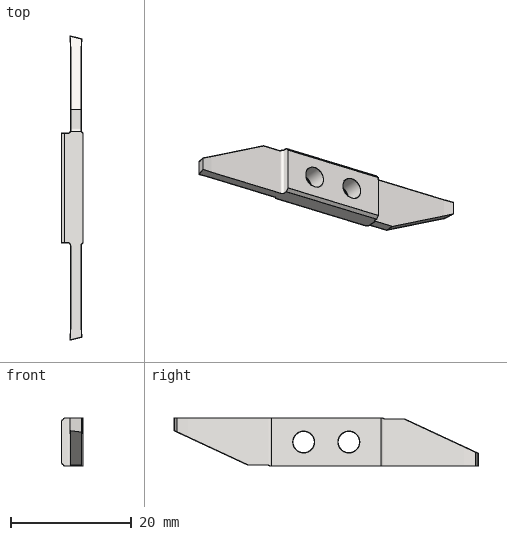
import cadquery as cq
import math

length = 50.5
height = 8.0
width = 3.6

body_half_length = 9.1
body_chamfer = 0.5
root_radius = 0.45

blade_left = -0.29
blade_right = 1.5
edge_recess = 0.17
recess_radius = 0.6
recess_end = 9.8
flank_start = 13.0
flank_angle = 25.0

tip_left = -0.39
tip_right = 1.6
tip_length = 1.85
tip_end_drop = 0.5

hole_diameter = 3.55
hole_spacing = 7.5

half_length = length / 2
half_height = height / 2
half_width = width / 2
root_end = body_half_length + root_radius
tip_start = half_length - tip_length


def make_body():
    """Rectangular body with its two long -X edges chamfered."""
    body = cq.Workplane("XY").box(width, 2 * body_half_length, height)
    return body.edges("<X and |Y").chamfer(body_chamfer)


def arm_plan():
    """Plan outline of the +Y arm, with rounded roots and a flared, slanted tip, as a full-height prism."""
    left_root = blade_left - root_radius
    right_step = half_width - blade_right
    right_root_y = root_end - math.sqrt(root_radius**2 - (root_radius - right_step)**2)
    arc_offset = root_radius * math.sqrt(0.5)
    half_sweep = math.acos((root_radius - right_step) / root_radius) / 2
    right_mid = (
        blade_right + root_radius * (1 - math.cos(half_sweep)),
        root_end - root_radius * math.sin(half_sweep),
    )
    return (
        cq.Workplane("XY", origin=(0, 0, -half_height))
        .moveTo(left_root, 0)
        .lineTo(left_root, body_half_length)
        .threePointArc((left_root + arc_offset, root_end - arc_offset), (blade_left, root_end))
        .lineTo(blade_left, tip_start)
        .lineTo(tip_left, half_length)
        .lineTo(tip_right, half_length - tip_end_drop)
        .lineTo(blade_right, tip_start - tip_end_drop)
        .lineTo(blade_right, root_end)
        .threePointArc(right_mid, (half_width, right_root_y))
        .lineTo(half_width, 0)
        .close()
        .extrude(height)
    )


def arm_profile():
    """Side outline of the +Y arm: straight lower edge, recessed upper edge and sloped flank."""
    blade_top = half_height - edge_recess
    recess_run = math.sqrt(recess_radius**2 - (recess_radius - edge_recess)**2)
    half_sweep = math.acos((recess_radius - edge_recess) / recess_radius) / 2
    recess_mid = (
        recess_end - recess_radius * math.sin(half_sweep),
        blade_top + recess_radius * (1 - math.cos(half_sweep)),
    )
    flank_drop = (half_length - flank_start) * math.tan(math.radians(flank_angle))
    return (
        cq.Workplane("YZ", origin=(-half_width, 0, 0))
        .moveTo(0, -half_height)
        .lineTo(half_length, -half_height)
        .lineTo(half_length, blade_top - flank_drop)
        .lineTo(flank_start, blade_top)
        .lineTo(recess_end, blade_top)
        .threePointArc(recess_mid, (recess_end - recess_run, half_height))
        .lineTo(0, half_height)
        .close()
        .extrude(width)
    )


def make_holes():
    """Two through holes along X."""
    return (
        cq.Workplane("YZ", origin=(-half_width, 0, 0))
        .pushPoints([(-hole_spacing / 2, 0), (hole_spacing / 2, 0)])
        .circle(hole_diameter / 2)
        .extrude(width)
    )


arm = arm_plan().intersect(arm_profile())
opposite_arm = arm.rotate((0, 0, 0), (1, 0, 0), 180)
result = make_body().union(arm).union(opposite_arm).cut(make_holes())